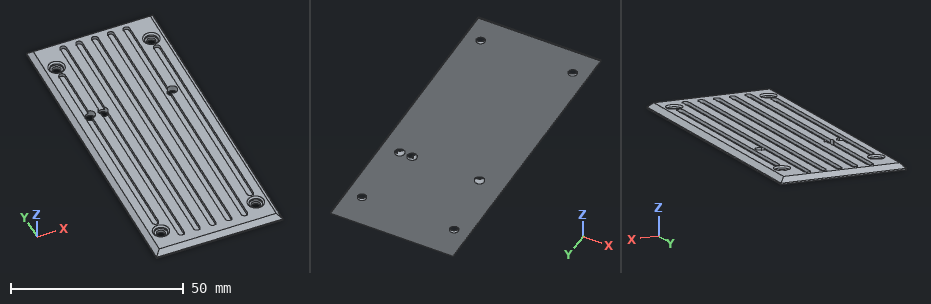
import cadquery as cq

width = 40.0
length = 93.5
thickness = 2.0
edge_bevel = 1.5

groove_pitch = 5.0
groove_width = 2.0
groove_depth = 1.0
long_groove_ends = (-42.5, 43.9)
short_groove_ends = (-35.4, 33.5)
long_groove_count = 5

screw_x = 3 * groove_pitch
screw_rows = (-38.5, 36.5)
screw_diameter = 2.7
seat_diameter = 4.0
sink_diameter = 5.05
sink_depth = (sink_diameter - seat_diameter) / 2
seat_depth = 1.0

through_diameter = 3.0
through_y = 14.5
through_columns = (-14.0, -2 * groove_pitch, 12.0)


def groove(x, ends):
    """Round-ended groove cutter along Y between two end positions."""
    start, end = ends
    return (
        cq.Workplane("XY", origin=(x, (start + end) / 2, thickness))
        .slot2D(end - start, groove_width, 90)
        .extrude(-groove_depth)
    )


def screw_hole(x, y):
    """Through hole with a flat seat below a conical mouth, turned about its axis."""
    seat_z = thickness - seat_depth
    return (
        cq.Workplane("XZ")
        .polyline([
            (0, 0),
            (screw_diameter / 2, 0),
            (screw_diameter / 2, seat_z),
            (seat_diameter / 2, seat_z),
            (seat_diameter / 2, thickness - sink_depth),
            (sink_diameter / 2, thickness),
            (0, thickness),
        ])
        .close()
        .revolve(360, (0, 0), (0, 1))
        .translate((x, y, 0))
    )


result = cq.Workplane("XY").box(width, length, thickness, centered=(True, True, False))
result = result.faces(">Z").edges().chamfer(edge_bevel)

for index in range(long_groove_count):
    groove_x = (index - (long_groove_count - 1) / 2) * groove_pitch
    result = result.cut(groove(groove_x, long_groove_ends))

for side_x in (-screw_x, screw_x):
    result = result.cut(groove(side_x, short_groove_ends))
    for screw_y in screw_rows:
        result = result.cut(screw_hole(side_x, screw_y))

for hole_x in through_columns:
    hole = cq.Workplane("XY").center(hole_x, through_y).circle(through_diameter / 2).extrude(thickness)
    result = result.cut(hole)